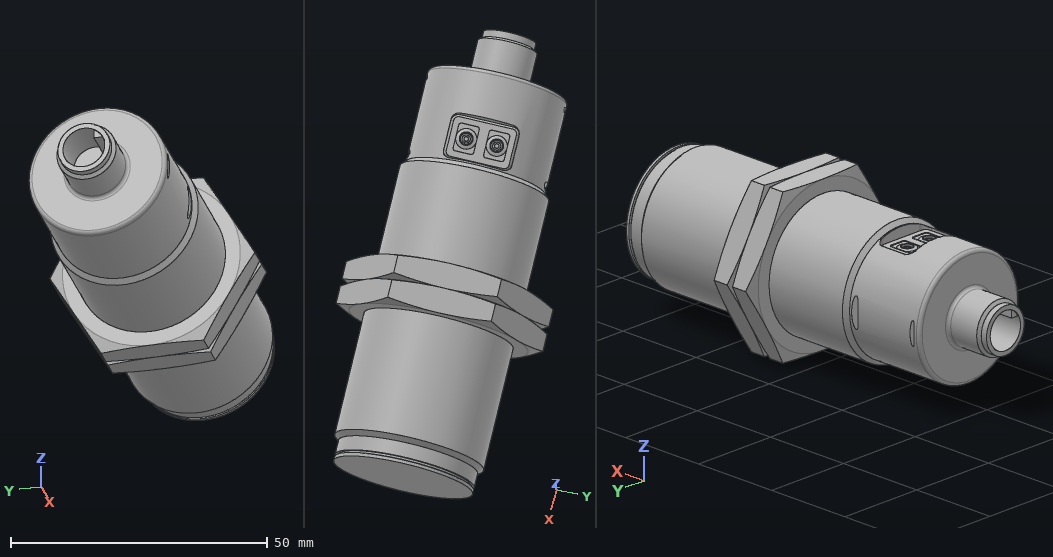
import cadquery as cq
import math

TOTAL_LENGTH = 90.0
TIP_RADIUS = 10.5 / 2
TIP_LENGTH = 1.4
CONNECTOR_RADIUS = 12.0 / 2
CONNECTOR_BEVEL_LENGTH = 0.5
HEAD_START = 9.8
CONNECTOR_FILLET = 0.7
HEAD_RADIUS = 28.0 / 2
HEAD_FILLET = 0.8
BARREL_START = 28.9
BARREL_RADIUS = 30.0 / 2
BARREL_END = 85.9
CAP_GROOVE_START = 88.7
CAP_GROOVE_WIDTH = 0.5
CAP_GROOVE_DEPTH = 0.5

SOCKET_RADIUS = 4.2
SOCKET_DEPTH = 8.1
KEY_CORNER_OFFSET = 2.0
KEY_RECESS = 0.3

POCKET_CENTER_X = 23.9
POCKET_LENGTH = 9.2
POCKET_WIDTH = 13.7
POCKET_CORNER_RADIUS = 1.5
POCKET_FLOOR_Z = 11.9
POCKET_FLOOR_BEVEL = 0.5

ADJUSTER_CENTER_X = 23.85
ADJUSTER_SPACING = 6.1
ADJUSTER_LENGTH = 5.7
ADJUSTER_WIDTH = 4.1
ADJUSTER_CORNER_RADIUS = 0.5
ADJUSTER_RECESS = 0.2
RING_RADIUS = 2.1
RING_TOP_RADIUS = 1.35
WELL_RADIUS = 1.2
DIAL_RADIUS = 0.8
DIAL_SOCKET_RADIUS = 0.45
DIAL_STEP = 0.3

SCALLOPS = [(11.8, 0.7, 0.3), (27.45, 1.1, 0.45)]

NUT_START = 49.95
NUT_THICKNESS = 5.0
NUT_COUNT = 2
NUT_ACROSS_FLATS = 36.0
NUT_CHAMFER_ANGLE = 15.0


def make_turned_blank():
    """Solid of revolution carrying the tip, connector, head, barrel and cap."""
    bevel = BARREL_RADIUS - HEAD_RADIUS
    groove_end = CAP_GROOVE_START + CAP_GROOVE_WIDTH
    groove_radius = HEAD_RADIUS - CAP_GROOVE_DEPTH
    diagonal = math.sqrt(0.5)
    root_middle = (
        HEAD_START - CONNECTOR_FILLET * (1 - diagonal),
        CONNECTOR_RADIUS + CONNECTOR_FILLET * (1 - diagonal),
    )
    head_edge_middle = (
        HEAD_START + HEAD_FILLET * (1 - diagonal),
        HEAD_RADIUS - HEAD_FILLET * (1 - diagonal),
    )
    profile = (
        cq.Workplane("XY")
        .moveTo(0, 0)
        .lineTo(0, TIP_RADIUS)
        .lineTo(TIP_LENGTH, TIP_RADIUS)
        .lineTo(TIP_LENGTH + CONNECTOR_BEVEL_LENGTH, CONNECTOR_RADIUS)
        .lineTo(HEAD_START - CONNECTOR_FILLET, CONNECTOR_RADIUS)
        .threePointArc(root_middle, (HEAD_START, CONNECTOR_RADIUS + CONNECTOR_FILLET))
        .lineTo(HEAD_START, HEAD_RADIUS - HEAD_FILLET)
        .threePointArc(head_edge_middle, (HEAD_START + HEAD_FILLET, HEAD_RADIUS))
        .lineTo(BARREL_START, HEAD_RADIUS)
        .lineTo(BARREL_START + bevel, BARREL_RADIUS)
        .lineTo(BARREL_END - bevel, BARREL_RADIUS)
        .lineTo(BARREL_END, HEAD_RADIUS)
        .lineTo(CAP_GROOVE_START, HEAD_RADIUS)
        .lineTo(CAP_GROOVE_START, groove_radius)
        .lineTo(groove_end, groove_radius)
        .lineTo(groove_end, HEAD_RADIUS)
        .lineTo(TOTAL_LENGTH, HEAD_RADIUS)
        .lineTo(TOTAL_LENGTH, 0)
        .close()
    )
    return profile.revolve(360, (0, 0, 0), (1, 0, 0))


def cut_socket(body):
    """Blind socket with a square-cornered key in its -Y, +Z quarter, set back from the mouth."""
    socket = cq.Workplane("YZ").circle(SOCKET_RADIUS).extrude(SOCKET_DEPTH)
    key_size = SOCKET_RADIUS
    key_center = KEY_CORNER_OFFSET + key_size / 2
    key = (
        cq.Workplane("YZ", origin=(KEY_RECESS, -key_center, key_center))
        .rect(key_size, key_size)
        .extrude(SOCKET_DEPTH - KEY_RECESS)
    )
    return body.cut(socket.cut(key))


def pocket_block(bottom, height):
    """Upright block with the rounded outline of the pocket."""
    return (
        cq.Workplane("XY", origin=(POCKET_CENTER_X, 0, bottom))
        .rect(POCKET_LENGTH, POCKET_WIDTH)
        .extrude(height)
        .edges("|Z")
        .fillet(POCKET_CORNER_RADIUS)
    )


def cut_pocket(body):
    """Straight-walled pocket whose floor is bevelled downward along its border."""
    bottom = POCKET_FLOOR_Z - POCKET_FLOOR_BEVEL
    pocket = pocket_block(bottom, BARREL_RADIUS - bottom)
    floor_plate = pocket_block(bottom - POCKET_FLOOR_BEVEL, 2 * POCKET_FLOOR_BEVEL)
    floor_plate = floor_plate.faces(">Z").edges().chamfer(POCKET_FLOOR_BEVEL)
    return body.cut(pocket.cut(floor_plate))


def disc_z(center, bottom, height, radius):
    """Disc with a vertical axis at the given (X, Y) center."""
    return cq.Workplane("XY", origin=(*center, bottom)).circle(radius).extrude(height)


def add_adjuster(body, center):
    """Rectangular recess holding a conical ring around a dial, with a round socket in the dial."""
    recess_z = POCKET_FLOOR_Z - ADJUSTER_RECESS
    recess = (
        cq.Workplane("XY", origin=(*center, recess_z))
        .rect(ADJUSTER_LENGTH, ADJUSTER_WIDTH)
        .extrude(ADJUSTER_RECESS)
        .edges("|Z")
        .fillet(ADJUSTER_CORNER_RADIUS)
    )
    ring = cq.Workplane(
        cq.Solid.makeCone(RING_RADIUS, RING_TOP_RADIUS, DIAL_STEP, pnt=cq.Vector(*center, recess_z))
    )
    well = disc_z(center, recess_z - DIAL_STEP, 2 * DIAL_STEP, WELL_RADIUS)
    dial = disc_z(center, recess_z - DIAL_STEP, DIAL_STEP, DIAL_RADIUS)
    dial_socket = disc_z(center, recess_z - DIAL_STEP, DIAL_STEP, DIAL_SOCKET_RADIUS)
    return body.cut(recess).union(ring).cut(well).union(dial.cut(dial_socket))


def cut_scallops(body):
    """Shallow upright cylindrical cuts, mirrored on the -Y and +Y sides."""
    for x, radius, depth in SCALLOPS:
        for side in (-1, 1):
            y = side * (HEAD_RADIUS - depth + radius)
            cutter = cq.Workplane("XY", origin=(x, y, 0)).circle(radius).extrude(HEAD_RADIUS, both=True)
            body = body.cut(cutter)
    return body


def make_housing():
    body = make_turned_blank()
    body = cut_socket(body)
    body = cut_pocket(body)
    for side in (-1, 1):
        body = add_adjuster(body, (ADJUSTER_CENTER_X, side * ADJUSTER_SPACING / 2))
    return cut_scallops(body)


def make_nut(start):
    """Hexagonal nut with flats facing +Z and -Z and corners bevelled on both faces."""
    flat_radius = NUT_ACROSS_FLATS / 2
    corner_radius = flat_radius / math.cos(math.radians(30))
    bevel = (corner_radius - flat_radius) * math.tan(math.radians(NUT_CHAMFER_ANGLE))
    end = start + NUT_THICKNESS
    hexagon = (
        cq.Workplane("YZ", origin=(start, 0, 0))
        .polygon(6, 2 * corner_radius)
        .circle(BARREL_RADIUS)
        .extrude(NUT_THICKNESS)
    )
    envelope = (
        cq.Workplane("XY")
        .polyline([
            (start, 0),
            (start, flat_radius),
            (start + bevel, corner_radius),
            (end - bevel, corner_radius),
            (end, flat_radius),
            (end, 0),
        ])
        .close()
        .revolve(360, (0, 0, 0), (1, 0, 0))
    )
    return hexagon.intersect(envelope)


housing = make_housing()
nuts = [make_nut(NUT_START + i * NUT_THICKNESS) for i in range(NUT_COUNT)]
result = cq.Compound.makeCompound([housing.val(), *[nut.val() for nut in nuts]])